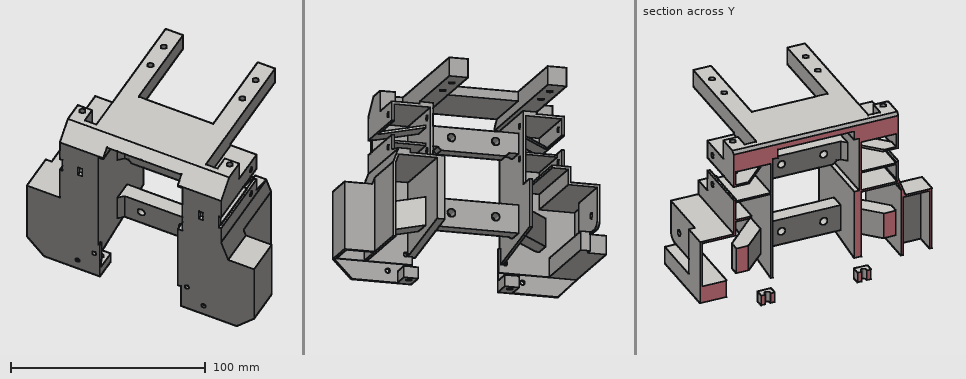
import cadquery as cq

width = 131.0
depth = 90.0
height = 96.0
plate = 2.2
wall = 1.5
skirt_plate = wall

side = width / 2
tower_side = 46.5
tower_inner = 24.2
arm_inner = 21.5
arm_outer = 31.6
leg_inner = 23.3

tower_depth = 40.0
body_depth = 51.0

crown_floor = height - 11.0
crown_bevel = 9.0
roof_thickness = 5.0
arm_thickness = 10.0
pocket_front = 12.0
post_inner = 38.3
post_depth = 20.3
post_hole_x, post_hole_y = 42.5, 17.5
arm_hole_x = 26.5
arm_hole_ys = (63.0, 78.0)
mount_hole = 3.1

skirt_top = 10.0
shoulder = 55.2
wing_top_left = 46.9
wing_top_right = 46.0
slot_bottom, slot_top = 67.1, 74.8
shelf_drop = 0.7
shelf_top = slot_bottom - shelf_drop
window_x, window_width = 34.8, 2.4
window_bottom, window_top = 68.3, 73.5

bridge_front, bridge_back = 24.1, 32.4
lower_bridge_bottom, lower_bridge_top = 22.8, 37.9
upper_bridge_bottom, upper_bridge_top = 65.2, 76.1
tab_half, tab_drop = 19.3, 1.8
bridge_hole_x = 11.9
upper_hole_z, upper_hole = 70.7, 4.0
lower_hole_z, lower_hole = 30.5, 4.2

recess_x = -62.1
recess_front = 21.4
flap_bottom = 24.2
flap_radius = 4.6
flap_hole_y, flap_hole_z, flap_hole = 40.9, 33.0, 3.3
bar_top = 20.0
bar_inner = -50.5
peg_width, peg_back = 5.1, 55.0
step_inner = -36.4

slope_top = 56.9
slope_foot = 50.6
wing_depth = 19.9
rear_wall_x = 49.3
ramp_inner, ramp_front_z, ramp_back_z = 40.1, 59.5, 57.1

inner_edge_front, inner_edge_back = 14.3, 21.2

pin_hole = 2.4
pin_holes = ((26.7, 15.3), (36.3, 6.0))
axle_hole = 2.8
axle_y = 33.8
axle_zs = (62.1, 79.5)
lug_width, lug_back, lug_height = 7.7, 12.2, 6.0
lug_hole_y = 8.3


def box(x0, x1, y0, y1, z0, z1):
    return cq.Workplane("XY").box(x1 - x0, y1 - y0, z1 - z0, centered=False).translate((x0, y0, z0))


def front_profile(points, y0, y1):
    """Extrude an X-Z outline from y0 back to y1."""
    return cq.Workplane("XZ", origin=(0, y0, 0)).polyline(points).close().extrude(y0 - y1)


def side_profile(points, x0, x1):
    """Extrude a Y-Z outline from x0 to x1."""
    return cq.Workplane("YZ", origin=(x0, 0, 0)).polyline(points).close().extrude(x1 - x0)


def drill_x(x0, x1, y, z, diameter):
    return cq.Workplane("YZ", origin=(x0, y, z)).circle(diameter / 2).extrude(x1 - x0)


def drill_y(x, z, y1, diameter):
    return cq.Workplane("XZ", origin=(x, 0, z)).circle(diameter / 2).extrude(-y1)


def drill_z(x, y, z0, z1, diameter):
    return cq.Workplane("XY", origin=(x, y, z0)).circle(diameter / 2).extrude(z1 - z0)


def both(shape):
    """The shape together with its mirror image across x = 0."""
    return shape.union(shape.mirror("YZ"))


def make_crown():
    crown = side_profile(
        [(0, crown_floor), (tower_depth, crown_floor), (tower_depth, height),
         (crown_bevel, height), (0, height - crown_bevel)],
        -tower_side, tower_side)
    crown = crown.cut(box(-arm_inner, arm_inner, 0, tower_depth, crown_floor, height - roof_thickness))
    crown = crown.cut(box(-tower_inner, tower_inner, 0, tower_depth, crown_floor, height - arm_thickness))
    pocket = box(arm_outer, tower_side, pocket_front, tower_depth, crown_floor, height)
    pocket = pocket.cut(box(post_inner, tower_side, pocket_front, post_depth, crown_floor, height))
    crown = crown.cut(both(pocket))
    crown = crown.cut(both(drill_z(post_hole_x, post_hole_y, crown_floor, height, mount_hole)))
    arm = box(arm_inner, arm_outer, pocket_front, depth, height - arm_thickness, height)
    for y in arm_hole_ys:
        arm = arm.cut(drill_z(arm_hole_x, y, height - arm_thickness, height, mount_hole))
    return crown.union(both(arm))


def make_front_plates():
    corner = side - skirt_top
    left = front_profile(
        [(-tower_side, crown_floor), (-tower_inner, crown_floor),
         (-tower_inner, lower_bridge_bottom), (-leg_inner, lower_bridge_bottom),
         (-leg_inner, 0), (-corner, 0), (-side, skirt_top),
         (-side, wing_top_left), (-tower_side, wing_top_left)],
        0, plate)
    right = front_profile(
        [(tower_side, crown_floor), (tower_inner, crown_floor),
         (tower_inner, shoulder), (arm_inner, shoulder),
         (arm_inner, inner_edge_front), (leg_inner, inner_edge_front),
         (leg_inner, 0), (corner, 0), (side, skirt_top),
         (side, wing_top_right), (slope_foot, wing_top_right), (tower_side, slope_top)],
        0, plate)
    plates = left.union(right)
    return plates.cut(box(-side, side, skirt_plate, plate, 0, skirt_top))


def make_towers():
    roof = box(tower_inner, tower_side, 0, tower_depth, crown_floor - wall, crown_floor)
    outer = box(tower_side - wall, tower_side, 0, tower_depth, slope_top, crown_floor)
    shelf = box(tower_inner, tower_side - wall, 0, bridge_back, upper_bridge_bottom, shelf_top)
    inner = side_profile(
        [(0, crown_floor), (0, inner_edge_front), (plate, inner_edge_front),
         (body_depth, inner_edge_back), (body_depth, wing_top_left),
         (tower_depth, wing_top_left), (tower_depth, crown_floor)],
        tower_inner, tower_inner + wall)
    towers = both(roof.union(outer).union(shelf).union(inner))
    right_lower = side_profile(
        [(0, shoulder), (0, inner_edge_front), (plate, inner_edge_front),
         (body_depth, inner_edge_back), (body_depth, shoulder)],
        arm_inner, tower_inner + wall)
    return towers.union(right_lower)


def make_bridge(bottom, top):
    """Cross bar whose ends run on as 45 degree struts to the front plate and outer tower wall."""
    back_bend = tower_inner + wall
    strut_end = tower_side - wall
    strut_end_back = bridge_back - (strut_end - back_bend)
    half = [(0, bridge_front), (arm_inner, bridge_front),
            (arm_inner + bridge_front - plate, plate),
            (strut_end, plate), (strut_end, strut_end_back),
            (back_bend, bridge_back), (0, bridge_back)]
    bar = cq.Workplane("XY", origin=(0, 0, bottom)).polyline(half).close().extrude(top - bottom)
    return both(bar)


def make_bridges():
    upper = make_bridge(upper_bridge_bottom, upper_bridge_top)
    tab_bottom = upper_bridge_bottom - tab_drop
    upper = upper.union(front_profile(
        [(-tab_half, upper_bridge_bottom), (tab_half, upper_bridge_bottom),
         (tab_half - tab_drop, tab_bottom), (tab_drop - tab_half, tab_bottom)],
        bridge_front, bridge_back))
    bridges = upper.union(make_bridge(lower_bridge_bottom, lower_bridge_top))
    bridges = bridges.cut(both(drill_y(bridge_hole_x, upper_hole_z, bridge_back, upper_hole)))
    return bridges.cut(both(drill_y(bridge_hole_x, lower_hole_z, bridge_back, lower_hole)))


def make_left_wing():
    roof = box(-side, -tower_side + wall, 0, body_depth, wing_top_left - wall, wing_top_left)
    roof = roof.cut(box(-side, recess_x, recess_front, body_depth, 0, wing_top_left))
    outer = box(-side, -side + wall, 0, recess_front, skirt_top, wing_top_left)
    end = box(-side, recess_x + wall, recess_front - wall, recess_front, skirt_top, wing_top_left)
    flap = box(recess_x, recess_x + wall, recess_front - wall, body_depth, flap_bottom, wing_top_left)
    flap = flap.edges("|X and >Y and <Z").fillet(flap_radius)
    flap = flap.cut(drill_x(recess_x, recess_x + wall, flap_hole_y, flap_hole_z, flap_hole))
    bar = box(-side, bar_inner, 0, body_depth, skirt_top, bar_top)
    peg = box(bar_inner - peg_width, bar_inner, body_depth, peg_back, skirt_top, bar_top)
    riser = box(-tower_side, -tower_side + wall, 0, body_depth, wing_top_left - wall, shoulder)
    riser = riser.union(box(-tower_side, -tower_side + wall, 0, tower_depth, shoulder, slope_top))
    step = box(-tower_side, step_inner, 0, body_depth, shoulder - wall, shoulder)
    wing = roof
    for piece in (outer, end, flap, bar, peg, riser, step):
        wing = wing.union(piece)
    return wing


def make_right_wing():
    slope = (slope_foot - tower_side) / (slope_top - wing_top_right)
    knee = slope_top - (rear_wall_x - tower_side) / slope
    rear_wall = front_profile(
        [(tower_side, slope_top), (rear_wall_x, knee), (rear_wall_x, skirt_top),
         (rear_wall_x - wall, skirt_top), (rear_wall_x - wall, knee), (tower_side - wall, slope_top)],
        0, body_depth)
    wing = front_profile(
        [(tower_side, slope_top), (slope_foot, wing_top_right), (side, wing_top_right),
         (side, skirt_top), (rear_wall_x, skirt_top), (rear_wall_x, knee)],
        0, wing_depth)
    wing = wing.cut(box(rear_wall_x, side - wall, plate, wing_depth - wall, skirt_top, wing_top_right - wall))
    ramp = side_profile(
        [(tower_depth - wall, shoulder - wall), (body_depth, shoulder - wall),
         (body_depth, ramp_back_z), (tower_depth, ramp_front_z), (tower_depth - wall, ramp_front_z)],
        ramp_inner, tower_side)
    step = box(tower_inner, tower_side, 0, body_depth, shoulder - wall, shoulder)
    return rear_wall.union(wing).union(ramp).union(step)


def make_lugs():
    lug = box(leg_inner, leg_inner + lug_width, 0, lug_back, 0, lug_height)
    hole = drill_z(leg_inner + lug_width / 2, lug_hole_y, 0, lug_height, mount_hole)
    return both(lug.cut(hole))


def make_cuts():
    """Side slots, front windows, pin holes and axle holes of both towers."""
    notch = box(tower_side - wall, tower_side, 0, plate, slot_bottom, slot_top)
    slot = box(tower_inner + wall, tower_side, plate, tower_depth, slot_bottom, slot_top)
    slot = slot.union(box(tower_inner + wall, tower_side - wall, plate, bridge_back, shelf_top, slot_bottom))
    window = box(window_x - window_width / 2, window_x + window_width / 2, 0, plate,
                 window_bottom, window_top)
    cuts = notch.union(slot).union(window)
    for x, z in pin_holes:
        cuts = cuts.union(drill_y(x, z, plate, pin_hole))
    for z in axle_zs:
        cuts = cuts.union(drill_x(tower_inner, tower_side, axle_y, z, axle_hole))
    return both(cuts)


result = make_crown()
for section in (make_front_plates(), make_towers(), make_bridges(),
                make_left_wing(), make_right_wing(), make_lugs()):
    result = result.union(section)
result = result.cut(make_cuts())